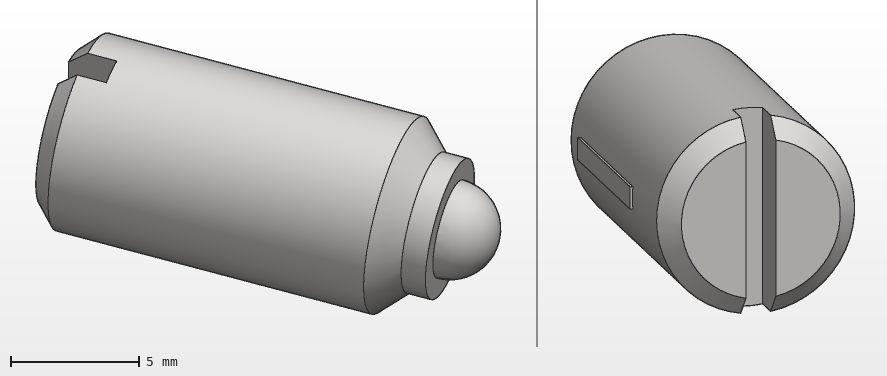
import cadquery as cq

total_length = 18.0
body_diameter = 8.0
collar_diameter = 5.7
ball_diameter = 3.98
rear_chamfer = 0.8
slot_width = 1.2
slot_depth = 2.0
collar_length = 1.0

strip_start = 4.5
strip_length = 8.0
strip_width = 0.9
strip_protrusion = 0.09
strip_embed = 0.9

body_radius = body_diameter / 2
collar_radius = collar_diameter / 2
ball_radius = ball_diameter / 2
collar_end = total_length - ball_radius
collar_start = collar_end - collar_length
taper_start = collar_start - (body_radius - collar_radius)


def turned_body():
    """Chamfered body with its tapered shoulder and collar, revolved about X."""
    profile = (
        cq.Workplane("XY")
        .lineTo(0, body_radius - rear_chamfer)
        .lineTo(rear_chamfer, body_radius)
        .lineTo(taper_start, body_radius)
        .lineTo(collar_start, collar_radius)
        .lineTo(collar_end, collar_radius)
        .lineTo(collar_end, 0)
        .close()
    )
    return profile.revolve(360, (0, 0, 0), (1, 0, 0))


def ball_nose():
    """Ball centred on the collar face, so that half of it stands out."""
    return cq.Workplane("XY").sphere(ball_radius).translate((collar_end, 0, 0))


def driver_slot():
    """Screwdriver slot running right across the rear face along Z."""
    return cq.Workplane("XY").box(
        slot_depth, slot_width, body_diameter, centered=(False, True, True)
    )


def locking_strip():
    """Flat strip partly sunk in the body and slightly proud of its side."""
    strip = cq.Workplane("XY").box(
        strip_length, strip_embed + strip_protrusion, strip_width, centered=(False, False, True)
    )
    return strip.translate((strip_start, body_radius - strip_embed, 0))


result = turned_body().union(ball_nose()).union(locking_strip()).cut(driver_slot())